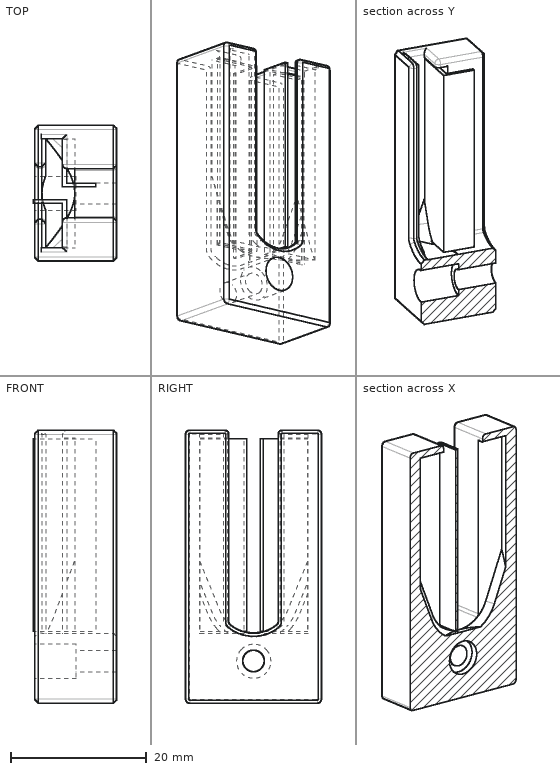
import cadquery as cq
import math

DEPTH = 12.05
WIDTH = 20.0
HEIGHT = 40.2
EDGE_RADIUS = 0.65
FRONT_CHAMFER = 0.55
BACK_CHAMFER = 0.5
FRONT_X = -DEPTH / 2
BACK_X = DEPTH / 2

SLOT_AXIS_Z = 15.7
BACK_SLOT_HALF = 3.6
BACK_SLOT_RADIUS = 5.4
FRONT_SLOT_HALF = 3.85
FRONT_SLOT_RADIUS = 5.35

FRONT_WALL = 1.65
SIDE_WALL = 2.0
WALL_BEVEL = 0.6
BEVELLED_LAYER = 0.7
POCKET_X = FRONT_X + FRONT_WALL
LAYER_X = POCKET_X - BEVELLED_LAYER
POCKET_HALF = WIDTH / 2 - SIDE_WALL
POCKET_Y = (-POCKET_HALF, POCKET_HALF)
MOUTH_BACK_X = -1.93
MOUTH_BOTTOM_Z = 36.15
CHAMBER_BACK_X = -0.12
CHAMBER_TOP_Z = 39.0
FLOOR_Z = SLOT_AXIS_Z - BACK_SLOT_RADIUS
CHAMBER_Z = (FLOOR_Z, CHAMBER_TOP_Z)
FLARE_ANGLE = 45.0
FLANK_ANGLE = 68.0

HOLE_Z = 6.23
HOLE_DIAMETER = 3.15
COUNTERBORE_DIAMETER = 5.02
COUNTERBORE_DEPTH = DEPTH / 2

BLADE_GAP = 1.93
SLIT_LEG_LENGTH = 4.9
SLIT_LEG_THICKNESS = 0.5
CROSS_LEG_THICKNESS = 0.65
CLEARANCE = 0.1
FLOOR_CLEARANCE = 0.25
CROSS_LEG_X = (MOUTH_BACK_X, MOUTH_BACK_X + CROSS_LEG_THICKNESS)

TOLERANCE = 0.005


def box(x_range, y_range, z_range):
    """Axis-aligned box between the given limits."""
    size = [high - low for low, high in (x_range, y_range, z_range)]
    corner = (x_range[0], y_range[0], z_range[0])
    return cq.Workplane("XY").box(*size, centered=False).translate(corner)


def slotted_slab(x_range, half_width, slot_half, slot_radius):
    """Upright slab with a round-bottomed slot open at the top."""
    corner_z = SLOT_AXIS_Z - math.sqrt(slot_radius**2 - slot_half**2)
    return (
        cq.Workplane("YZ", origin=(x_range[0], 0, 0))
        .moveTo(-half_width, 0)
        .lineTo(half_width, 0)
        .lineTo(half_width, HEIGHT)
        .lineTo(slot_half, HEIGHT)
        .lineTo(slot_half, corner_z)
        .threePointArc((0, SLOT_AXIS_Z - slot_radius), (-slot_half, corner_z))
        .lineTo(-slot_half, HEIGHT)
        .lineTo(-half_width, HEIGHT)
        .close()
        .extrude(x_range[1] - x_range[0])
    )


def make_front_wall():
    """Outer layer of the front wall, with rounded outline and chamfered outer rim."""
    wall = slotted_slab((FRONT_X, LAYER_X), WIDTH / 2, FRONT_SLOT_HALF, FRONT_SLOT_RADIUS)
    wall = wall.edges("|X").fillet(EDGE_RADIUS)
    return wall.faces("<X").edges().chamfer(FRONT_CHAMFER)


def make_bevelled_layer():
    """Inner layer of the front wall, bevelled along its top and slot rim."""
    layer = slotted_slab((LAYER_X, POCKET_X), POCKET_HALF, FRONT_SLOT_HALF, FRONT_SLOT_RADIUS)
    slot_edges = layer.edges("|X").filter(lambda edge: abs(edge.Center().y) < POCKET_HALF - TOLERANCE)
    layer = slot_edges.fillet(EDGE_RADIUS)
    return layer.faces(">X").edges(">Z").chamfer(WALL_BEVEL)


def is_rounded_edge(edge):
    """True for the edges of the back block that are rounded."""
    middle = edge.Center()
    at_top = abs(middle.z - HEIGHT) < TOLERANCE
    if edge.BoundingBox().xlen > TOLERANCE:
        return at_top or abs(middle.z - MOUTH_BOTTOM_Z) > TOLERANCE
    at_mouth_back = abs(middle.x - MOUTH_BACK_X) < TOLERANCE
    at_side_wall = abs(abs(middle.y) - POCKET_HALF) < TOLERANCE
    above_bottom = middle.z > MOUTH_BOTTOM_Z + TOLERANCE
    return at_mouth_back and above_bottom and not at_side_wall


def make_back_block():
    """Block behind the front wall, with the pocket mouth and its rounded rims."""
    block = slotted_slab((LAYER_X, BACK_X), WIDTH / 2, BACK_SLOT_HALF, BACK_SLOT_RADIUS)
    block = block.cut(box((LAYER_X, MOUTH_BACK_X), POCKET_Y, (MOUTH_BOTTOM_Z, HEIGHT)))
    block = block.edges().filter(is_rounded_edge).fillet(EDGE_RADIUS)
    return block.faces(">X").edges().chamfer(BACK_CHAMFER)


def make_chamber():
    """Chamber space: flat floor, and a round bottom with flat flanks that flares to the front."""
    angle = math.radians(FLANK_ANGLE)
    tangent_y = BACK_SLOT_RADIUS * math.sin(angle)
    tangent_z = SLOT_AXIS_Z - BACK_SLOT_RADIUS * math.cos(angle)
    top_y = tangent_y + (HEIGHT - tangent_z) / math.tan(angle)
    flare = (
        cq.Workplane("YZ", origin=(CHAMBER_BACK_X, 0, 0))
        .moveTo(-top_y, HEIGHT)
        .lineTo(-tangent_y, tangent_z)
        .threePointArc((0, FLOOR_Z), (tangent_y, tangent_z))
        .lineTo(top_y, HEIGHT)
        .close()
        .extrude(LAYER_X - CHAMBER_BACK_X, taper=-FLARE_ANGLE)
    )
    return flare.intersect(box((LAYER_X, CHAMBER_BACK_X), POCKET_Y, CHAMBER_Z))


def make_screw_hole():
    """Space of the through hole and its flat counterbore from the front."""
    front_plane = cq.Workplane("YZ", origin=(FRONT_X, 0, HOLE_Z))
    shank = front_plane.circle(HOLE_DIAMETER / 2).extrude(DEPTH)
    head = front_plane.circle(COUNTERBORE_DIAMETER / 2).extrude(COUNTERBORE_DEPTH)
    return shank.union(head)


def make_housing():
    blade_groove = box(CROSS_LEG_X, POCKET_Y, CHAMBER_Z)
    shell = make_front_wall().union(make_back_block())
    shell = shell.cut(make_chamber()).cut(blade_groove)
    return shell.union(make_bevelled_layer()).cut(make_screw_hole())


def make_blade(turn):
    """Angle blade, turned about the upright axis through the middle of its cross leg."""
    slit_y = BLADE_GAP / 2
    z_range = (FLOOR_Z + FLOOR_CLEARANCE, CHAMBER_TOP_Z - CLEARANCE)
    slit_leg_x = (MOUTH_BACK_X, MOUTH_BACK_X + SLIT_LEG_LENGTH)
    slit_leg = box(slit_leg_x, (slit_y, slit_y + SLIT_LEG_THICKNESS), z_range)
    cross_leg = box(CROSS_LEG_X, (slit_y, POCKET_HALF - CLEARANCE), z_range)
    axis_x = sum(CROSS_LEG_X) / 2
    return cross_leg.union(slit_leg).rotate((axis_x, 0, 0), (axis_x, 0, 1), turn)


housing = make_housing()
blades = [make_blade(turn) for turn in (0, 180)]

result = cq.Compound.makeCompound([housing.solids().val(), *[blade.solids().val() for blade in blades]])